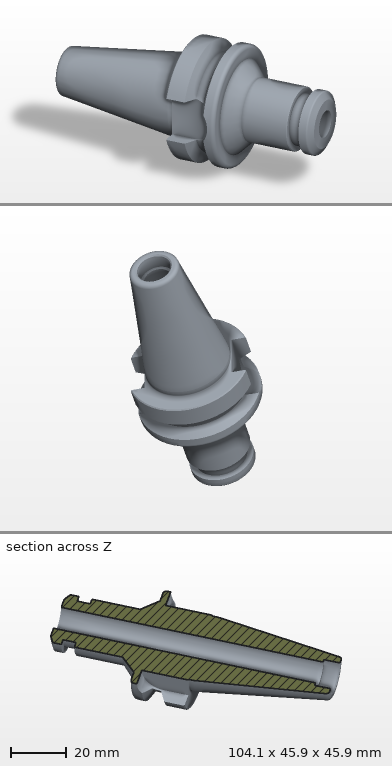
import cadquery as cq
import math

total_length = 104.11

gauge_diameter = 31.75
gauge_x = 48.6
taper_end_diameter = 18.2
taper_end_fillet = 1.5

flange_diameter = 45.92
flange_x = gauge_x + 2.0
flange_end_x = gauge_x + 22.0
flange_edge_chamfer = 0.4
flange_root_fillet = 0.3
flange_end_fillet = 1.5
groove_diameter = 37.5
groove_center_x = gauge_x + 13.6
groove_floor_width = 3.2
groove_half_angle = 30.0

nose_diameter = 24.0
nose_shoulder_diameter = 35.5
nose_groove_diameter = 19.43
nose_groove_x = 94.5
nose_groove_end_x = 99.2
nose_groove_chamfer = 0.3
nose_chamfer_length = 1.65
nose_chamfer_angle = 60.0
nose_chamfer_fillet = 0.75

through_diameter = 10.16
pilot_diameter = 12.55
pilot_depth = 6.0
mouth_diameter = 13.6

slot_width = 16.4
slot_floor_y = 16.2
slot_end_x = gauge_x + 19.35

selection_margin = 0.01


def outer_profile():
    """Half section of the turned outside, down to the axis."""
    taper_end_radius = taper_end_diameter / 2
    gauge_radius = gauge_diameter / 2
    flange_radius = flange_diameter / 2
    groove_radius = groove_diameter / 2
    nose_radius = nose_diameter / 2
    nose_groove_radius = nose_groove_diameter / 2
    shoulder_radius = nose_shoulder_diameter / 2

    wall_run = (flange_radius - groove_radius) * math.tan(math.radians(groove_half_angle))
    floor_start = groove_center_x - groove_floor_width / 2
    floor_end = groove_center_x + groove_floor_width / 2
    nose_chamfer_drop = nose_chamfer_length * math.tan(math.radians(nose_chamfer_angle))

    points = [
        (0, 0),
        (0, taper_end_radius),
        (gauge_x, gauge_radius),
        (flange_x, gauge_radius),
        (flange_x, flange_radius - flange_edge_chamfer),
        (flange_x + flange_edge_chamfer, flange_radius),
        (floor_start - wall_run, flange_radius),
        (floor_start, groove_radius),
        (floor_end, groove_radius),
        (floor_end + wall_run, flange_radius),
        (flange_end_x, flange_radius),
        (flange_end_x, shoulder_radius),
        (flange_end_x + shoulder_radius - nose_radius, nose_radius),
        (nose_groove_x - nose_groove_chamfer, nose_radius),
        (nose_groove_x, nose_radius - nose_groove_chamfer),
        (nose_groove_x, nose_groove_radius),
        (nose_groove_end_x, nose_groove_radius),
        (nose_groove_end_x, nose_radius),
        (total_length - nose_chamfer_length, nose_radius),
        (total_length, nose_radius - nose_chamfer_drop),
        (total_length, 0),
    ]
    return cq.Workplane("XY").polyline(points).close()


def circle_edges(x, diameter):
    """Selector for the circular edges at x, centred on the axis, up to the given diameter."""
    reach = diameter / 2 + selection_margin
    low_corner = (x - selection_margin, -reach, -reach)
    high_corner = (x + selection_margin, reach, reach)
    return cq.selectors.BoxSelector(low_corner, high_corner, boundingbox=True)


def revolve_about_axis(half_section):
    """Turn a closed half section in the XY plane about the X axis."""
    return half_section.revolve(360, (0, 0, 0), (1, 0, 0))


def turned_body():
    """Turned outside with its rounded edges."""
    outer_rim = circle_edges(flange_end_x, flange_diameter)
    inner_rim = circle_edges(flange_end_x, nose_shoulder_diameter)
    rounded_edges = [
        (circle_edges(0, taper_end_diameter), taper_end_fillet),
        (circle_edges(flange_x, gauge_diameter), flange_root_fillet),
        (outer_rim - inner_rim, flange_end_fillet),
        (circle_edges(total_length - nose_chamfer_length, nose_diameter), nose_chamfer_fillet),
    ]
    body = revolve_about_axis(outer_profile())
    for edge, radius in rounded_edges:
        body = body.edges(edge).fillet(radius)
    return body


def bore():
    """Stepped bore opening at the small taper end, running through the part."""
    through_radius = through_diameter / 2
    pilot_radius = pilot_diameter / 2
    mouth_radius = mouth_diameter / 2
    points = [
        (0, 0),
        (0, mouth_radius),
        (mouth_radius - pilot_radius, pilot_radius),
        (pilot_depth, pilot_radius),
        (pilot_depth, through_radius),
        (total_length, through_radius),
        (total_length, 0),
    ]
    return revolve_about_axis(cq.Workplane("XY").polyline(points).close())


def drive_slot(side):
    """Flat-floored slot with a round end, on the +Y (side = 1) or -Y (side = -1) flank."""
    depth = flange_diameter / 2 - slot_floor_y
    half_width = slot_width / 2
    center_x = slot_end_x - half_width
    return (
        cq.Workplane("XZ", origin=(0, side * slot_floor_y, 0))
        .moveTo(flange_x, -half_width)
        .lineTo(center_x, -half_width)
        .threePointArc((slot_end_x, 0), (center_x, half_width))
        .lineTo(flange_x, half_width)
        .close()
        .extrude(-side * depth)
    )


result = turned_body().cut(bore())
for side in (-1, 1):
    result = result.cut(drive_slot(side))